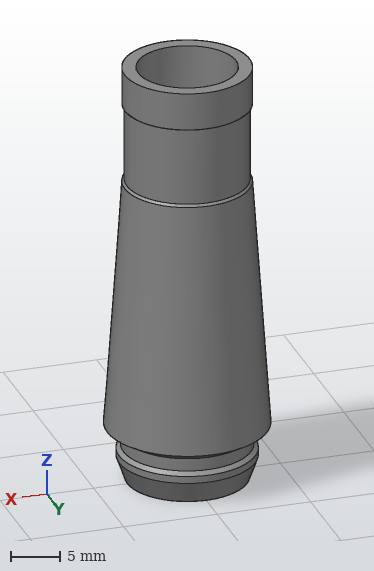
import cadquery as cq

total_height = 45.7
barb_taper_top = 2.4
barb_rim_top = 3.2
groove_bottom = 3.6
groove_top = 5.0
body_bottom = 6.05
body_top = 33.0
neck_bottom = 33.25
neck_top = 41.55
collar_bottom = 41.7

tip_radius = 6.4
barb_radius = 7.25
groove_radius = 6.8
body_radius = 8.55
collar_radius = 6.65
neck_radius = 6.45

bore_top_radius = 5.2
bore_bottom_radius = 5.03

half_section = [
    (bore_bottom_radius, 0),
    (tip_radius, 0),
    (barb_radius, barb_taper_top),
    (barb_radius, barb_rim_top),
    (groove_radius, groove_bottom),
    (groove_radius, groove_top),
    (body_radius, body_bottom),
    (collar_radius, body_top),
    (neck_radius, neck_bottom),
    (neck_radius, neck_top),
    (collar_radius, collar_bottom),
    (collar_radius, total_height),
    (bore_top_radius, total_height),
]

result = cq.Workplane("XZ").polyline(half_section).close().revolve(360, (0, 0), (0, 1))